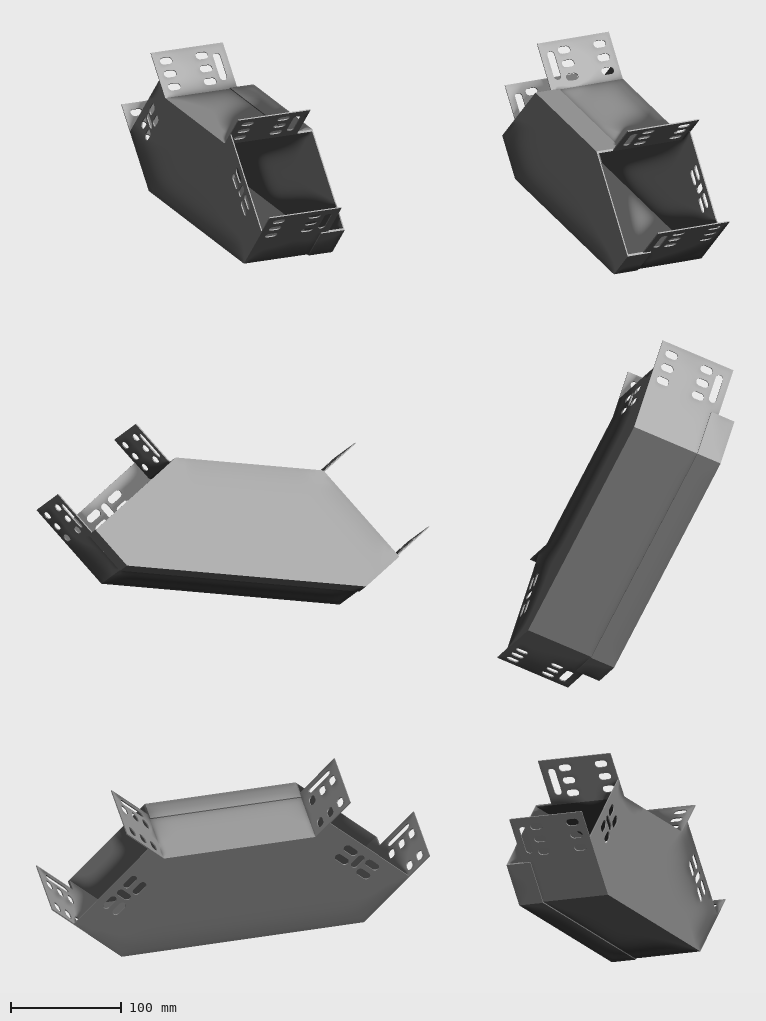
import cadquery as cq
import math


sheet = 1.0
tray_height = 101.5
top_length = 139.5
bend_angle = 45
tongue_depth = 70.5
tray_depth = 86.2
lip_width = 23.0
top_leg = 46.5
tongue_length = 27.7

shortest_leg = 0.005

slot_width = 7.0
long_slot_length = 28.0
short_slot_length = 12.0
short_slot_pitch = 13.3
long_slot_depth = 60.5
short_row_depths = (12.0, 47.0)

plate_slot_length = 15.0
plate_row_insets = (11.0, 22.8)
plate_row_spread = 27.5
cross_slot_inset = 15.8

tilt_x = 0.1
tilt_y = -1.6
tilt_z = 1.25

mitre = math.tan(math.radians(bend_angle / 2))
leg_x = math.cos(math.radians(bend_angle))
leg_z = math.sin(math.radians(bend_angle))
bottom_half = top_length / 2 + tray_height * mitre
wall_leg = top_leg + tray_height * mitre
plate_leg = wall_leg - tongue_length
cover_leg = (tray_height + sheet) * mitre


def bend_point(level):
    """Right-hand bend of the surface lying `level` above the bottom face."""
    return bottom_half - level * mitre, level


def leg_point(level, leg):
    """Point on that surface in the right-hand leg; all levels with one `leg` form a square end."""
    x, z = bend_point(level)
    reach = leg - level * mitre
    return x + reach * leg_x, z + reach * leg_z


def surface_points(level, leg):
    """Bend of the surface and, where the leg reaches beyond it, the end of the leg."""
    has_leg = leg - level * mitre > shortest_leg
    return [bend_point(level), leg_point(level, leg)] if has_leg else [bend_point(level)]


def mirrored(points):
    return [(-x, z) for x, z in reversed(points)]


def bent_slab(low, high, leg, y_start, y_end):
    """Solid between two levels, bent up at both ends, from `y_start` to `y_end`."""
    right_side = surface_points(low, leg) + surface_points(high, leg)[::-1]
    outline = right_side + mirrored(right_side)
    slab = cq.Workplane("XZ", origin=(0, y_start, 0)).polyline(outline).close()
    return slab.extrude(y_start - y_end)


def both_ends(cutter):
    return cutter.union(cutter.mirror("YZ"))


def tongue_slots():
    """Slots through the top and bottom tongues, which line up across the tray."""
    x, z = leg_point(tray_height / 2, wall_leg - top_leg / 2)
    middle = cq.Plane(origin=(x, 0, z), xDir=(leg_x, 0, leg_z), normal=(-leg_z, 0, leg_x))
    rows = [
        (column * short_slot_pitch, depth)
        for column in (-1, 0, 1)
        for depth in short_row_depths
    ]
    short_slots = (
        cq.Workplane(middle).pushPoints(rows)
        .slot2D(short_slot_length, slot_width, 90)
        .extrude(tray_height, both=True)
    )
    long_slot = (
        cq.Workplane(middle).center(0, long_slot_depth)
        .slot2D(long_slot_length, slot_width)
        .extrude(tray_height, both=True)
    )
    return both_ends(short_slots.union(long_slot))


def plate_slots():
    """Two rows of slots along each end of the front plate, with a cross slot between them."""
    row_points = [
        leg_point(tray_height / 2 + side * plate_row_spread / 2, plate_leg - inset)
        for side in (-1, 1)
        for inset in plate_row_insets
    ]
    cross_point = leg_point(tray_height / 2, plate_leg - cross_slot_inset)
    row_slots = (
        cq.Workplane("XZ").pushPoints(row_points)
        .slot2D(plate_slot_length, slot_width, bend_angle + 90)
        .extrude(sheet, both=True)
    )
    cross_slot = (
        cq.Workplane("XZ").center(*cross_point)
        .slot2D(plate_slot_length, slot_width, bend_angle)
        .extrude(sheet, both=True)
    )
    return both_ends(row_slots.union(cross_slot))


def tilted(body):
    origin = (0, 0, 0)
    body = body.rotate(origin, (1, 0, 0), tilt_x)
    body = body.rotate(origin, (0, 1, 0), tilt_y)
    return body.rotate(origin, (0, 0, 1), tilt_z)


def make_channel():
    """Front plate with bottom and top walls, which run on into narrower slotted tongues."""
    body = bent_slab(0, tray_height, plate_leg, 0, sheet)
    for low in (0, tray_height - sheet):
        high = low + sheet
        body = body.union(bent_slab(low, high, cover_leg, 0, tray_depth - sheet))
        body = body.union(bent_slab(low, high, wall_leg, 0, tongue_depth))
    return body.cut(tongue_slots()).cut(plate_slots())


def make_cover():
    """Back plate with lips lying on the outside of the channel walls."""
    body = bent_slab(-sheet, tray_height + sheet, cover_leg, tray_depth - sheet, tray_depth)
    for low in (-sheet, tray_height):
        lip = bent_slab(low, low + sheet, cover_leg, tray_depth - lip_width, tray_depth)
        body = body.union(lip)
    return body


channel = tilted(make_channel())
cover = tilted(make_cover())

result = cq.Compound.makeCompound([channel.solids().val(), cover.solids().val()])